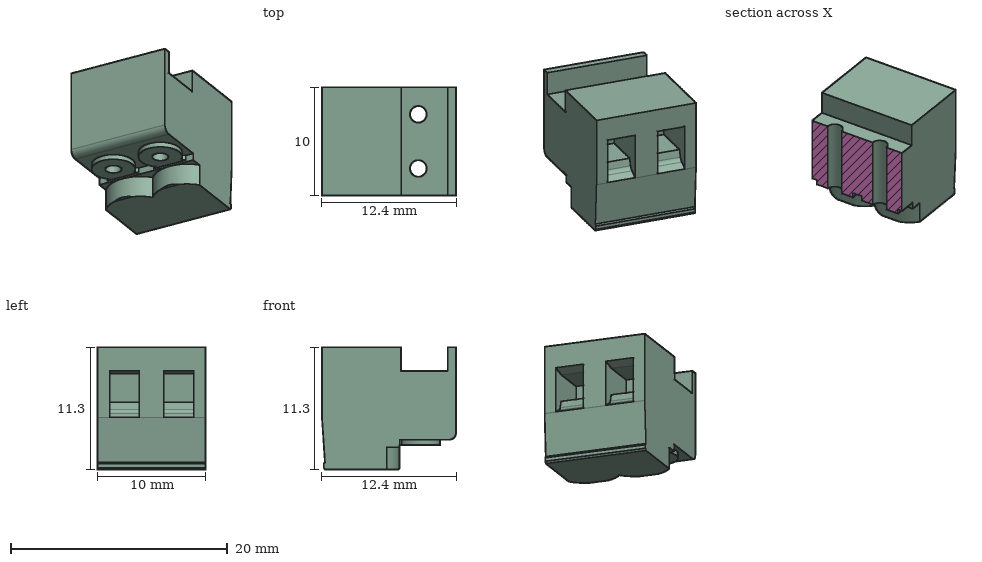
import cadquery as cq
import math

length = 12.4
width = 10.0
height = 11.3
pole_count = 2
pole_pitch = width / pole_count
pole_centres = [(i + 0.5) * pole_pitch for i in range(pole_count)]

slot_start = 7.32
lip_thickness = 0.79
slot_floor = 9.1
underside = 2.74
corner_radius = 0.68
plug_end = 7.17
taper_top = 4.81
taper_bottom = 0.68
taper_inset = 0.27
bead_inset = 0.16
bead_top = 0.52
bead_bottom = 0.19
edge_chamfer = 0.14

lobe_height = 2.06
lobe_edge_start = 5.99
lobe_rise = plug_end - lobe_edge_start
lobe_radius = (lobe_rise**2 + (pole_pitch / 2) ** 2) / (2 * lobe_rise)
lobe_centre = plug_end - lobe_radius

screw_x = 8.9
hole_diameter = 1.51
boss_radius = 2.02
boss_drop = 0.48
bump_radius = 0.62
bump_reach = 0.25
bump_offset = 1.19

entry_width = 2.75
entry_top = slot_floor
entry_depth = 4.96
ceiling_inner = 8.83
ramp_end = (0.76, 5.22)
curve_end = (1.1, 5.58)
throat = (1.3, 6.24)
curve_bulge = 0.05


def make_body():
    lip_start = length - lip_thickness
    return (
        cq.Workplane("XZ")
        .moveTo(0, height)
        .lineTo(slot_start, height)
        .lineTo(slot_start, slot_floor)
        .lineTo(lip_start, slot_floor)
        .lineTo(lip_start, height)
        .lineTo(length, height)
        .lineTo(length, underside + corner_radius)
        .radiusArc((length - corner_radius, underside), corner_radius)
        .lineTo(plug_end, underside)
        .lineTo(plug_end, edge_chamfer)
        .lineTo(plug_end - edge_chamfer, 0)
        .lineTo(bead_inset + edge_chamfer, 0)
        .lineTo(bead_inset, bead_bottom)
        .lineTo(bead_inset, bead_top)
        .lineTo(taper_inset, taper_bottom)
        .lineTo(0, taper_top)
        .close()
        .extrude(-width)
    )


def make_lobe_cutter():
    """Material outside the rounded lobes at the lower end of the plug."""
    cutter = cq.Workplane("XY").box(2 * lobe_radius, width, lobe_height, centered=False)
    cutter = cutter.translate((lobe_centre, 0, 0))
    for y in pole_centres:
        lobe = (
            cq.Workplane("XY")
            .center(lobe_centre, y)
            .circle(lobe_radius)
            .extrude(lobe_height)
        )
        cutter = cutter.cut(lobe)
    return cutter


def make_disc(x, y, radius):
    """Short round pad standing below the underside, rooted in the body."""
    return (
        cq.Workplane("XY", origin=(x, y, underside - boss_drop))
        .circle(radius)
        .extrude(2 * boss_drop)
    )


def make_entry(y):
    """Stepped wire opening with a sloped ceiling and a curved ramp."""
    middle = (
        (ramp_end[0] + curve_end[0]) / 2 + curve_bulge / math.sqrt(2),
        (ramp_end[1] + curve_end[1]) / 2 - curve_bulge / math.sqrt(2),
    )
    return (
        cq.Workplane("XZ", origin=(0, y, 0))
        .moveTo(0, taper_top)
        .lineTo(*ramp_end)
        .threePointArc(middle, curve_end)
        .lineTo(*throat)
        .lineTo(entry_depth, throat[1])
        .lineTo(entry_depth, ceiling_inner)
        .lineTo(throat[0], ceiling_inner)
        .lineTo(0, entry_top)
        .close()
        .extrude(entry_width / 2, both=True)
    )


result = make_body().cut(make_lobe_cutter())

bump_x = plug_end + bump_reach - bump_radius
for pole_y in pole_centres:
    result = result.union(make_disc(screw_x, pole_y, boss_radius))
    for side in (-1, 1):
        result = result.union(make_disc(bump_x, pole_y + side * bump_offset, bump_radius))

for pole_y in pole_centres:
    hole = cq.Workplane("XY").center(screw_x, pole_y).circle(hole_diameter / 2).extrude(height)
    result = result.cut(hole).cut(make_entry(pole_y))